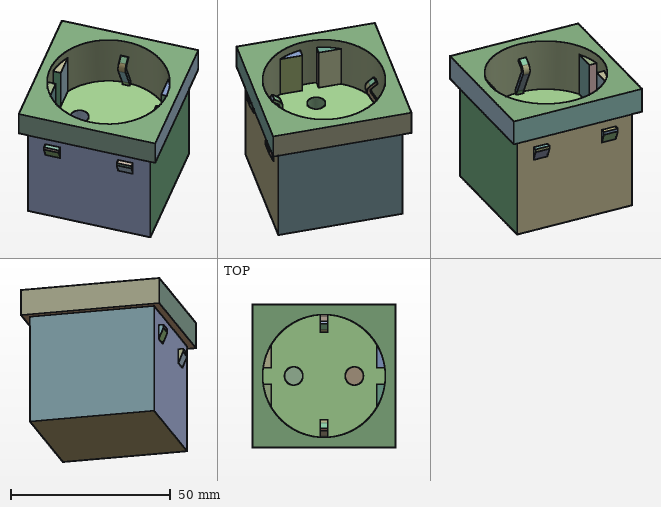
import cadquery as cq
import math

plate_side = 44.8
plate_thickness = 8.35
body_side = 40.25
total_height = 43.0

recess_radius = 19.2
recess_depth = 17.5
pin_hole_radius = 2.85
pin_spacing = 19.0
pin_hole_depth = 17.9
key_face_x = 16.5
key_gap = 5.25
key_top_depth = 3.1

clip_width = 2.4
clip_thickness = 1.1
clip_bend_radius = 1.95
clip_foot_radius = 3.85
clip_foot_embed = 0.45
clip_foot_y = recess_radius - clip_thickness / 2
clip_centre_line = [
    (16.75, -4.0),
    (13.65, -6.4),
    (clip_foot_y, -16.5),
    (clip_foot_y, -recess_depth - clip_foot_embed),
]

hook_width = 4.9
hook_spacing = 23.9
hook_reach = 1.5
hook_top = -12.72
hook_lip_height = 1.05
hook_height = 4.6


def make_housing():
    plate = cq.Workplane("XY").rect(plate_side, plate_side).extrude(-plate_thickness)
    body = cq.Workplane("XY").rect(body_side, body_side).extrude(-total_height)
    return plate.union(body)


def make_recess():
    recess = cq.Workplane("XY").circle(recess_radius).extrude(-recess_depth)
    pin_holes = (
        cq.Workplane("XY", origin=(0, 0, -recess_depth))
        .pushPoints([(-pin_spacing / 2, 0), (pin_spacing / 2, 0)])
        .circle(pin_hole_radius)
        .extrude(-pin_hole_depth)
    )
    return recess.union(pin_holes)


def make_keys():
    """Four circle segments standing on the recess floor, split by a gap on each side."""
    plane = cq.Workplane("XY", origin=(0, 0, -key_top_depth))
    height = recess_depth - key_top_depth
    disc = plane.circle(recess_radius).extrude(-height)
    middle = plane.rect(2 * key_face_x, 2 * recess_radius).extrude(-height)
    gap = plane.rect(2 * recess_radius, key_gap).extrude(-height)
    return disc.cut(middle).cut(gap)


def segment_angle(start, end):
    return math.atan2(end[1] - start[1], end[0] - start[0])


def offset_line(points, distance):
    """Shift an open polyline sideways, with mitred corners."""
    angles = [segment_angle(a, b) for a, b in zip(points, points[1:])]
    shifted = []
    for point, before, after in zip(points, angles[:1] + angles, angles + angles[-1:]):
        half_turn = math.remainder(after - before, 2 * math.pi) / 2
        normal = before + half_turn + math.pi / 2
        mitre = distance / math.cos(half_turn)
        shifted.append((point[0] + mitre * math.cos(normal), point[1] + mitre * math.sin(normal)))
    return shifted


def make_clip():
    """Sheet-metal strip on the +Y side, rounded about common centres at both bends."""
    half = clip_thickness / 2
    left = offset_line(clip_centre_line, half)
    right = offset_line(clip_centre_line, -half)
    clip = (
        cq.Workplane("YZ")
        .polyline(left + right[::-1])
        .close()
        .extrude(clip_width / 2, both=True)
    )
    rounded_corners = [
        (left[1], clip_bend_radius - half),
        (right[1], clip_bend_radius + half),
        (left[2], clip_foot_radius + half),
        (right[2], clip_foot_radius - half),
    ]
    for (y, z), radius in rounded_corners:
        corner = cq.selectors.NearestToPointSelector((0, y, z))
        clip = clip.edges("|X").edges(corner).fillet(radius)
    return clip


def make_hooks():
    """Two snap hooks on the +Y wall: a short upright lip above a ramp."""
    wall = body_side / 2
    profile = [
        (wall, hook_top),
        (wall + hook_reach, hook_top),
        (wall + hook_reach, hook_top - hook_lip_height),
        (wall, hook_top - hook_height),
    ]
    hook = cq.Workplane("YZ").polyline(profile).close().extrude(hook_width / 2, both=True)
    offset = hook_spacing / 2
    return hook.translate((-offset, 0, 0)).union(hook.translate((offset, 0, 0)))


result = make_housing().cut(make_recess()).union(make_keys())
for feature in (make_clip(), make_hooks()):
    result = result.union(feature).union(feature.mirror("XZ"))